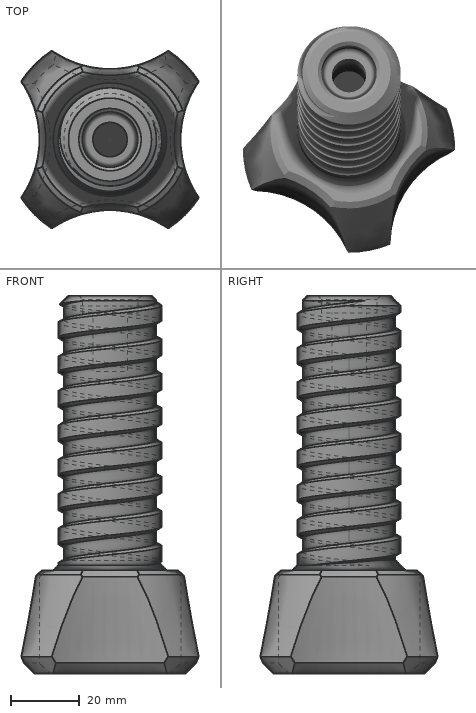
import cadquery as cq

TOTAL_HEIGHT = 110.0

HEAD_HEIGHT = 30.0
ARM_BOTTOM_RADIUS = 27.5
ARM_WIDEST_RADIUS = 30.9
ARM_SHOULDER_RADIUS = 22.9
ARM_TOP_RADIUS = 21.2
ARM_BOTTOM_BEVEL_HEIGHT = 5.0
ARM_TOP_BEVEL_HEIGHT = 1.3

FLUTE_COUNT = 4
FLUTE_RADIUS = 29.9
FLUTE_AXIS_OFFSET = 50.5
FLUTE_BOTTOM_BEVEL = 3.1
FLUTE_TOP_BEVEL = 1.9

SHANK_RADIUS = 13.5
COLLAR_HEIGHT = 3.0
THREAD_RADIUS = 15.1
THREAD_PITCH = 10.0
THREAD_CREST_WIDTH = 4.3
THREAD_ROOT_WIDTH = 6.0
THREAD_START_ANGLE = 145.0
THREAD_HEIGHT_AT_BACK = 29.9
THREAD_START_HEIGHT = THREAD_HEIGHT_AT_BACK - THREAD_PITCH * (180 - THREAD_START_ANGLE) / 360
THREAD_OVERLAP = 0.5
TIP_CHAMFER = 3.0
TIP_EXCESS = 11.0

COUNTERBORE_DIAMETER = 16.2
COUNTERBORE_DEPTH = 5.0
COUNTERBORE_CHAMFER = 1.0
BORE_DIAMETER = 10.0
BORE_DEPTH = 22.0


def revolved(profile):
    """Turn a closed (radius, height) outline around Z."""
    return cq.Workplane("XZ").polyline(profile).close().revolve(360, (0, 0, 0), (0, 1, 0))


def make_flute():
    """Cutter for one flute; it flares at both ends to bevel the flute's rims."""
    flute = revolved([
        (0, 0),
        (FLUTE_RADIUS + FLUTE_BOTTOM_BEVEL, 0),
        (FLUTE_RADIUS, FLUTE_BOTTOM_BEVEL),
        (FLUTE_RADIUS, HEAD_HEIGHT - FLUTE_TOP_BEVEL),
        (FLUTE_RADIUS + FLUTE_TOP_BEVEL, HEAD_HEIGHT),
        (0, HEAD_HEIGHT),
    ])
    return flute.translate((FLUTE_AXIS_OFFSET, 0, 0))


def make_head():
    head = revolved([
        (0, 0),
        (ARM_BOTTOM_RADIUS, 0),
        (ARM_WIDEST_RADIUS, ARM_BOTTOM_BEVEL_HEIGHT),
        (ARM_SHOULDER_RADIUS, HEAD_HEIGHT - ARM_TOP_BEVEL_HEIGHT),
        (ARM_TOP_RADIUS, HEAD_HEIGHT),
        (0, HEAD_HEIGHT),
    ])
    flute = make_flute()
    for i in range(FLUTE_COUNT):
        head = head.cut(flute.rotate((0, 0, 0), (0, 0, 1), i * 360 / FLUTE_COUNT))
    return head


def make_shank():
    """Plain shank with a conical collar at the head, left overlong at the tip."""
    return revolved([
        (0, 0),
        (SHANK_RADIUS, 0),
        (SHANK_RADIUS, HEAD_HEIGHT),
        (SHANK_RADIUS + COLLAR_HEIGHT, HEAD_HEIGHT),
        (SHANK_RADIUS, HEAD_HEIGHT + COLLAR_HEIGHT),
        (SHANK_RADIUS, TOTAL_HEIGHT + TIP_EXCESS),
        (0, TOTAL_HEIGHT + TIP_EXCESS),
    ])


def make_thread():
    """Right-handed trapezoidal ridge that ends above the tip, inside the excess to be trimmed."""
    flank_slope = (THREAD_ROOT_WIDTH - THREAD_CREST_WIDTH) / 2 / (THREAD_RADIUS - SHANK_RADIUS)
    inner_radius = SHANK_RADIUS - THREAD_OVERLAP
    inner_half = THREAD_ROOT_WIDTH / 2 + THREAD_OVERLAP * flank_slope
    crest_half = THREAD_CREST_WIDTH / 2
    run = TOTAL_HEIGHT + TIP_EXCESS / 2 - THREAD_START_HEIGHT

    section = cq.Workplane("XZ").polyline([
        (inner_radius, -inner_half),
        (THREAD_RADIUS, -crest_half),
        (THREAD_RADIUS, crest_half),
        (inner_radius, inner_half),
    ]).close()
    path = cq.Workplane(cq.Wire.makeHelix(THREAD_PITCH, run, SHANK_RADIUS))
    ridge = section.sweep(path, isFrenet=True)
    ridge = ridge.rotate((0, 0, 0), (0, 0, 1), THREAD_START_ANGLE)
    return ridge.translate((0, 0, THREAD_START_HEIGHT))


def make_tip_trim():
    """Cutter that removes the overlong tip and leaves a 45 degree chamfer."""
    flat_radius = THREAD_RADIUS - TIP_CHAMFER
    outer_radius = 2 * THREAD_RADIUS
    return revolved([
        (0, TOTAL_HEIGHT),
        (flat_radius, TOTAL_HEIGHT),
        (outer_radius, TOTAL_HEIGHT - (outer_radius - flat_radius)),
        (outer_radius, TOTAL_HEIGHT + 2 * TIP_EXCESS),
        (0, TOTAL_HEIGHT + 2 * TIP_EXCESS),
    ])


def make_hole():
    """Cutter for the countersunk counterbore and the blind bore below it."""
    counterbore_radius = COUNTERBORE_DIAMETER / 2
    bore_radius = BORE_DIAMETER / 2
    counterbore_floor = TOTAL_HEIGHT - COUNTERBORE_DEPTH
    bore_floor = TOTAL_HEIGHT - BORE_DEPTH
    return revolved([
        (0, bore_floor),
        (bore_radius, bore_floor),
        (bore_radius, counterbore_floor),
        (counterbore_radius, counterbore_floor),
        (counterbore_radius, TOTAL_HEIGHT - COUNTERBORE_CHAMFER),
        (counterbore_radius + COUNTERBORE_CHAMFER, TOTAL_HEIGHT),
        (0, TOTAL_HEIGHT),
    ])


screw = make_shank().union(make_thread()).cut(make_tip_trim())
result = make_head().union(screw).cut(make_hole())